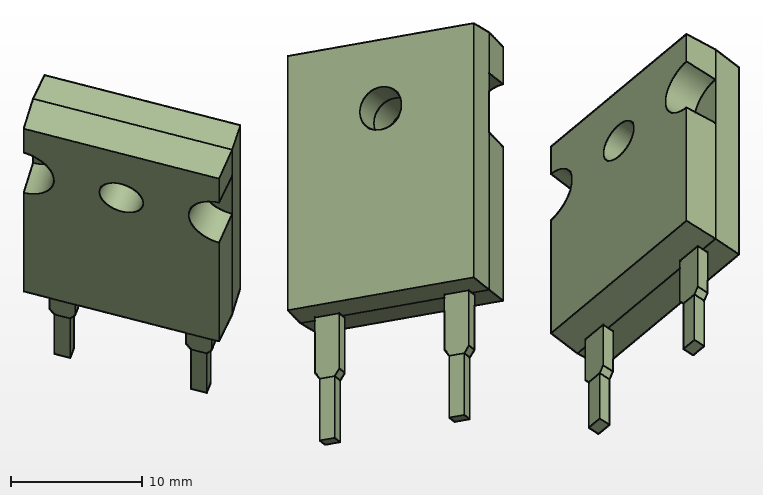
import cadquery as cq
import math

total_height = 31.25
body_width = 15.9
body_height = 21.12
front_depth = 2.8
back_depth = 2.5
draft_angle = 3.0

hole_diameter = 3.5
hole_drop = 5.78
hole_height = body_height - hole_drop
notch_radius = 2.422
notch_front_radius = notch_radius + front_depth * math.tan(math.radians(draft_angle))

lead_pitch = 10.9
lead_thickness = 1.0
shank_width = 2.05
tip_width = 1.28
taper_height = 0.55
lead_length = total_height - body_height
tip_length = lead_length / 2
lead_socket_depth = 0.62
lead_positions = [-lead_pitch / 2, lead_pitch / 2]


def drafted_block(depth, normal_y):
    """Rectangular block that narrows away from the parting plane along normal_y."""
    plane = cq.Plane(origin=(0, 0, body_height / 2), xDir=(1, 0, 0), normal=(0, normal_y, 0))
    return cq.Workplane(plane).rect(body_width, body_height).extrude(depth, taper=draft_angle)


def mounting_hole():
    """Cylinder along Y that passes through both halves."""
    cutter = cq.Workplane("XZ").center(0, hole_height).circle(hole_diameter / 2)
    return cutter.extrude(front_depth + back_depth, both=True)


def side_notch(x):
    """Cone centred on a side edge, from the parting plane to the front face."""
    return cq.Workplane(
        cq.Solid.makeCone(
            notch_radius,
            notch_front_radius,
            front_depth,
            pnt=cq.Vector(x, 0, hole_height),
            dir=cq.Vector(0, -1, 0),
        )
    )


def lead_shank(x):
    """Wide upper part of a lead, tapered at its lower end to the width of the tip."""
    shank_bottom = tip_length - lead_length
    half_shank = shank_width / 2
    half_tip = tip_width / 2
    outline = [
        (x - half_shank, lead_socket_depth),
        (x + half_shank, lead_socket_depth),
        (x + half_shank, shank_bottom + taper_height),
        (x + half_tip, shank_bottom),
        (x - half_tip, shank_bottom),
        (x - half_shank, shank_bottom + taper_height),
    ]
    return cq.Workplane("XZ").polyline(outline).close().extrude(lead_thickness / 2, both=True)


def lead_tip(x):
    """Narrow straight lower part of a lead."""
    tip = cq.Workplane("XY").workplane(offset=-lead_length).center(x, 0)
    return tip.rect(tip_width, lead_thickness).extrude(tip_length)


shanks = [lead_shank(x) for x in lead_positions]
tips = [lead_tip(x) for x in lead_positions]

front_housing = drafted_block(front_depth, -1).cut(mounting_hole())
back_housing = drafted_block(back_depth, 1).cut(mounting_hole())
for shank in shanks:
    front_housing = front_housing.cut(shank)
    back_housing = back_housing.cut(shank)

for notch_x in [-body_width / 2, body_width / 2]:
    front_housing = front_housing.cut(side_notch(notch_x))

result = cq.Compound.makeCompound(
    [
        front_housing.solids().val(),
        back_housing.solids().val(),
        *[shank.solids().val() for shank in shanks],
        *[tip.val() for tip in tips],
    ]
)